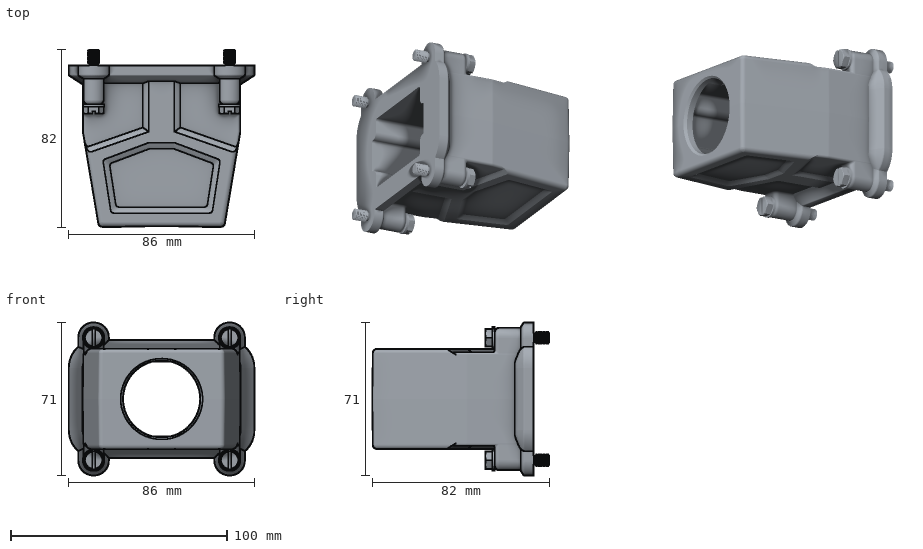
import cadquery as cq
import math


overall_length = 82.0
overall_height = 71.0

flange_width = 86.0
flange_height = 54.7
flange_corner_radius = 12.9
flange_thickness = 4.65
flange_edge_radius = 0.7
flare_depth = 4.1
flare_angle = 57.0

screw_x = 31.5
ear_radius = 7.1
screw_z = overall_height / 2 - ear_radius
ear_flare_depth = 1.5
boss_radius = 4.65
boss_end = 18.1
boss_end_radius = 2.1
boss_root_radius = 1.0

body_half_width = 36.5
front_half_width = 29.1
body_half_height = 23.2
body_length = 74.8
shoulder_y = -31.0
body_draft = 0.8
shoulder_radius = 4.3
body_edge_radius = 2.1

panel_depth = 1.55
bevel_width = 2.75
bevel_angle = math.degrees(math.atan(bevel_width / panel_depth))
rib_half_width = 5.9
panel_corner_y = -30.7
panel_slope = 0.35
panel_overrun = 51.6
trim_depth = 2 * panel_depth
panel_edge_radius = 1.1
panel_floor_z = body_half_height - panel_depth
pocket_top_y = -35.8
pocket_shoulder = (27.2, -43.8)
pocket_bottom = (23.4, -68.4)
pocket_corner_radius = 3.4

entry_diameter = 35.6
entry_chamfer = 1.2
entry_depth = 11.2
front_wall = 4.3
cavity_half_width = 22.9
cavity_half_height = 17.2
cavity_corner_radius = 1.2
side_bay_half_width = 26.8
side_bay_half_height = 7.7
side_bay_corner_radius = 0.95
side_bay_entry_radius = 2.9

washer_diameter = 10.0
washer_thickness = 1.0
head_flats = 8.25
head_end = 22.45
head_crown_depth = 0.35
head_crown_angle = 66.0
slot_width = 1.4
slot_depth = 1.3
thread_diameter = 5.4
thread_root_diameter = 4.2
thread_length = overall_length - body_length
thread_pitch = 0.79
thread_count = 8

pick_margin = 0.1


def toward_front(start_y):
    """Sketch plane at the given Y whose extrusions run toward -Y; local x, y are X, Z."""
    return cq.Workplane("XZ", origin=(0, start_y, 0))


def both_sides(shape):
    """The shape joined with its mirror image across the YZ plane."""
    return shape.union(shape.mirror("YZ"))


def upright_edges_at(edge_y, height):
    """Selects the block's upright corner edges near the given Y."""
    reach_y = 1.7
    end_margin = 0.9
    return cq.selectors.BoxSelector(
        (-flange_width, edge_y - reach_y, end_margin),
        (flange_width, edge_y + reach_y, height - end_margin),
    )


def make_block(height, rim_radius):
    """Upper half of the drafted hood block, with its rim rounded."""
    outline = [
        (-body_half_width, 0),
        (-body_half_width, shoulder_y),
        (-front_half_width, -body_length),
        (front_half_width, -body_length),
        (body_half_width, shoulder_y),
        (body_half_width, 0),
    ]
    block = cq.Workplane("XY").polyline(outline).close().extrude(height, taper=body_draft)
    near_shoulder = upright_edges_at(shoulder_y, height)
    near_front = upright_edges_at(-body_length, height)
    block = block.edges(near_shoulder).fillet(shoulder_radius)
    block = block.edges(near_front).fillet(body_edge_radius)
    return block.faces(">Z").edges("not(>Y)").fillet(rim_radius)


def make_body():
    raised = make_block(body_half_height, body_edge_radius).cut(both_sides(make_side_panel()))
    sunken = make_block(panel_floor_z, panel_edge_radius)
    half = sunken.union(raised).cut(make_pocket())
    return half.union(half.mirror("XY"))


def face_sketch():
    """Sketch plane on the raised upper face."""
    return cq.Workplane("XY", origin=(0, 0, body_half_height))


def make_side_panel():
    """Cutter that trims the raised block back to the bevelled rib on the +X side."""
    outer_y = panel_corner_y - panel_slope * (panel_overrun - rib_half_width)
    outline = [
        (rib_half_width, panel_overrun),
        (rib_half_width, panel_corner_y),
        (panel_overrun, outer_y),
        (panel_overrun, panel_overrun),
    ]
    return face_sketch().polyline(outline).close().extrude(-trim_depth, taper=bevel_angle)


def make_pocket():
    """Cutter for the six-sided pocket with bevelled walls."""
    shoulder_x, shoulder_pocket_y = pocket_shoulder
    bottom_x, bottom_y = pocket_bottom
    outline = [
        (-rib_half_width, pocket_top_y),
        (rib_half_width, pocket_top_y),
        (shoulder_x, shoulder_pocket_y),
        (bottom_x, bottom_y),
        (-bottom_x, bottom_y),
        (-shoulder_x, shoulder_pocket_y),
    ]
    pocket = face_sketch().polyline(outline).close().extrude(-panel_depth, taper=bevel_angle)
    lower_corners = cq.selectors.BoxSelector(
        (-flange_width, -body_length, 0),
        (flange_width, shoulder_pocket_y + bevel_width, 2 * body_half_height),
    )
    return pocket.edges("not(#Z)").edges(lower_corners).fillet(pocket_corner_radius)


def round_outer_edge(plate):
    """Round the edge where the plate's rim meets its flare."""
    rim_edge = cq.selectors.BoxSelector(
        (-flange_width, -flange_thickness - pick_margin, pick_margin),
        (flange_width, -flange_thickness + pick_margin, flange_width),
    )
    return plate.edges(rim_edge).fillet(flange_edge_radius)


def make_flange():
    outline = cq.Sketch().rect(flange_width, flange_height).vertices().fillet(flange_corner_radius)
    plate = toward_front(0).placeSketch(outline).extrude(flange_thickness)
    flare = toward_front(-flange_thickness).placeSketch(outline).extrude(flare_depth, taper=flare_angle)
    return round_outer_edge(plate.union(flare))


def rounded_tab(start_y, radius, length, taper=0):
    """Tab at the +X +Z screw, round on top and straight down to the hood's middle plane."""
    return (
        toward_front(start_y)
        .moveTo(screw_x - radius, 0)
        .lineTo(screw_x - radius, screw_z)
        .threePointArc((screw_x, screw_z + radius), (screw_x + radius, screw_z))
        .lineTo(screw_x + radius, 0)
        .close()
        .extrude(length, taper=taper)
    )


def make_ear():
    plate = rounded_tab(0, ear_radius, flange_thickness)
    flare = rounded_tab(-flange_thickness, ear_radius, ear_flare_depth, flare_angle)
    boss = rounded_tab(0, boss_radius, boss_end).faces("<Y").edges("not(<Z)").fillet(boss_end_radius)
    return round_outer_edge(plate.union(flare)).union(boss)


def boss_root(side_x, floor_z):
    """Selects the edges where one boss stands on its sunken panel."""
    reach = boss_radius + boss_root_radius
    return cq.selectors.BoxSelector(
        (side_x - reach, -boss_end - boss_root_radius, floor_z - pick_margin),
        (side_x + reach, -flange_thickness - flare_depth / 2, floor_z + pick_margin),
    )


def make_screw():
    """Slotted hex screw with washer, on the Y axis."""
    washer = toward_front(-boss_end).circle(washer_diameter / 2).extrude(washer_thickness)
    head_start = boss_end + washer_thickness
    head_corners = head_flats / math.cos(math.pi / 6)
    head = toward_front(-head_start).polygon(6, head_corners).extrude(head_end - head_start)
    crown_start = head_end - head_crown_depth
    crown_limit = toward_front(-head_start).circle(head_corners / 2).extrude(crown_start - head_start)
    crown = toward_front(-crown_start).circle(head_corners / 2)
    head = head.intersect(crown_limit.union(crown.extrude(head_crown_depth, taper=head_crown_angle)))
    slot = toward_front(slot_depth - head_end).rect(slot_width, washer_diameter).extrude(slot_depth)

    crest = thread_diameter / 2
    root = thread_root_diameter / 2
    profile = [(0, -head_start), (root, -head_start), (root, thread_length - thread_count * thread_pitch)]
    for turn in range(thread_count, 0, -1):
        turn_start = thread_length - turn * thread_pitch
        profile.append((crest, turn_start + thread_pitch / 2))
        profile.append((root, turn_start + thread_pitch))
    profile.append((0, thread_length))
    shank = cq.Workplane("XY").polyline(profile).close().revolve(360, (0, 0, 0), (0, 1, 0))
    return washer.union(head).cut(slot).union(shank)


def cavity_channel(half_width, half_height, corner_radius, length):
    section = cq.Sketch().rect(2 * half_width, 2 * half_height).vertices().fillet(corner_radius)
    return toward_front(0).placeSketch(section).extrude(length)


def make_cavity():
    """Cutter for the open cavity and the chamfered cable entry."""
    cavity_length = body_length - front_wall
    cavity = cavity_channel(cavity_half_width, cavity_half_height, cavity_corner_radius, cavity_length)
    side_bays = cavity_channel(
        side_bay_half_width, side_bay_half_height, side_bay_corner_radius, cavity_length
    )
    cavity = cavity.union(side_bays)
    for side_x in (-cavity_half_width, cavity_half_width):
        bay_mouth = cq.selectors.BoxSelector(
            (side_x - pick_margin, -body_length, -side_bay_half_height - pick_margin),
            (side_x + pick_margin, 0, side_bay_half_height + pick_margin),
        )
        cavity = cavity.edges("|Y").edges(bay_mouth).fillet(side_bay_entry_radius)
    entry_radius = entry_diameter / 2
    entry = toward_front(entry_depth - body_length).circle(entry_radius).extrude(entry_depth)
    mouth = (
        toward_front(entry_chamfer - body_length)
        .circle(entry_radius)
        .workplane(offset=entry_chamfer)
        .circle(entry_radius + entry_chamfer)
        .loft()
    )
    return cavity.union(entry).union(mouth)


ears = both_sides(make_ear())
ears = ears.union(ears.mirror("XY"))
result = make_body().union(make_flange()).union(ears)
for side_x in (-screw_x, screw_x):
    for floor_z in (-panel_floor_z, panel_floor_z):
        result = result.edges(boss_root(side_x, floor_z)).fillet(boss_root_radius)
result = result.cut(make_cavity())

screw = make_screw()
for side_x in (-screw_x, screw_x):
    for side_z in (-screw_z, screw_z):
        result = result.union(screw.translate((side_x, 0, side_z)))